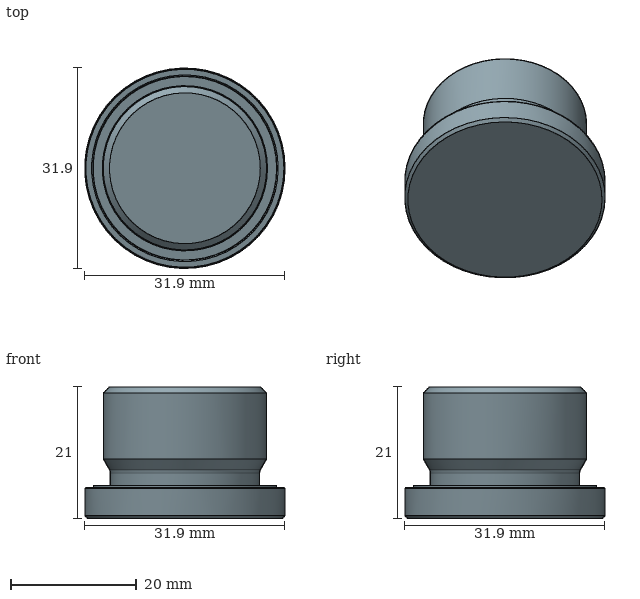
import cadquery as cq
import math

flange_diameter = 31.9
flange_height = 5.0
flange_bottom_chamfer = 0.5
flange_top_chamfer = 0.2
neck_diameter = 23.8
neck_top = 7.3
neck_fillet = 1.1
cone_angle = 30.0
head_diameter = 26.0
head_top = 21.0
head_chamfer = 1.0

ring_inner_diameter = 23.9
ring_outer_diameter = 29.2
ring_thickness = 1.5
ring_protrusion = 0.3
ring_bevel_diameter = 26.3
ring_bevel_depth = 0.7
groove_diameter = 29.3
groove_mouth_diameter = 29.7
groove_mouth_depth = (groove_mouth_diameter - groove_diameter) / 2

ring_top = flange_height + ring_protrusion
ring_bottom = ring_top - ring_thickness


def revolve(outline):
    """Close a (radius, height) outline and turn it about the Z axis."""
    return outline.close().revolve(360, (0, 0, 0), (0, 1, 0))


def neck_fillet_point(turn):
    """Point on the neck fillet after it has turned by this angle from the vertical neck."""
    return (
        neck_diameter / 2 + neck_fillet * (1 - math.cos(turn)),
        neck_top + neck_fillet * math.sin(turn),
    )


def make_plug():
    flange_radius = flange_diameter / 2
    neck_radius = neck_diameter / 2
    head_radius = head_diameter / 2
    groove_radius = groove_diameter / 2

    cone_slope = math.radians(cone_angle)
    fillet_middle = neck_fillet_point(cone_slope / 2)
    cone_start = neck_fillet_point(cone_slope)
    cone_height = (head_radius - cone_start[0]) / math.tan(cone_slope)
    head_bottom = cone_start[1] + cone_height

    outline = (
        cq.Workplane("XZ")
        .moveTo(0, 0)
        .lineTo(flange_radius - flange_bottom_chamfer, 0)
        .lineTo(flange_radius, flange_bottom_chamfer)
        .lineTo(flange_radius, flange_height - flange_top_chamfer)
        .lineTo(flange_radius - flange_top_chamfer, flange_height)
        .lineTo(groove_mouth_diameter / 2, flange_height)
        .lineTo(groove_radius, flange_height - groove_mouth_depth)
        .lineTo(groove_radius, ring_bottom)
        .lineTo(neck_radius, ring_bottom)
        .lineTo(neck_radius, neck_top)
        .threePointArc(fillet_middle, cone_start)
        .lineTo(head_radius, head_bottom)
        .lineTo(head_radius, head_top - head_chamfer)
        .lineTo(head_radius - head_chamfer, head_top)
        .lineTo(0, head_top)
    )
    return revolve(outline)


def make_sealing_ring():
    inner_radius = ring_inner_diameter / 2
    outer_radius = ring_outer_diameter / 2
    outline = (
        cq.Workplane("XZ")
        .moveTo(inner_radius, ring_bottom)
        .lineTo(outer_radius, ring_bottom)
        .lineTo(outer_radius, ring_top)
        .lineTo(ring_bevel_diameter / 2, ring_top)
        .lineTo(inner_radius, ring_top - ring_bevel_depth)
    )
    return revolve(outline)


plug = make_plug()
sealing_ring = make_sealing_ring()

result = cq.Compound.makeCompound([plug.val(), sealing_ring.val()])